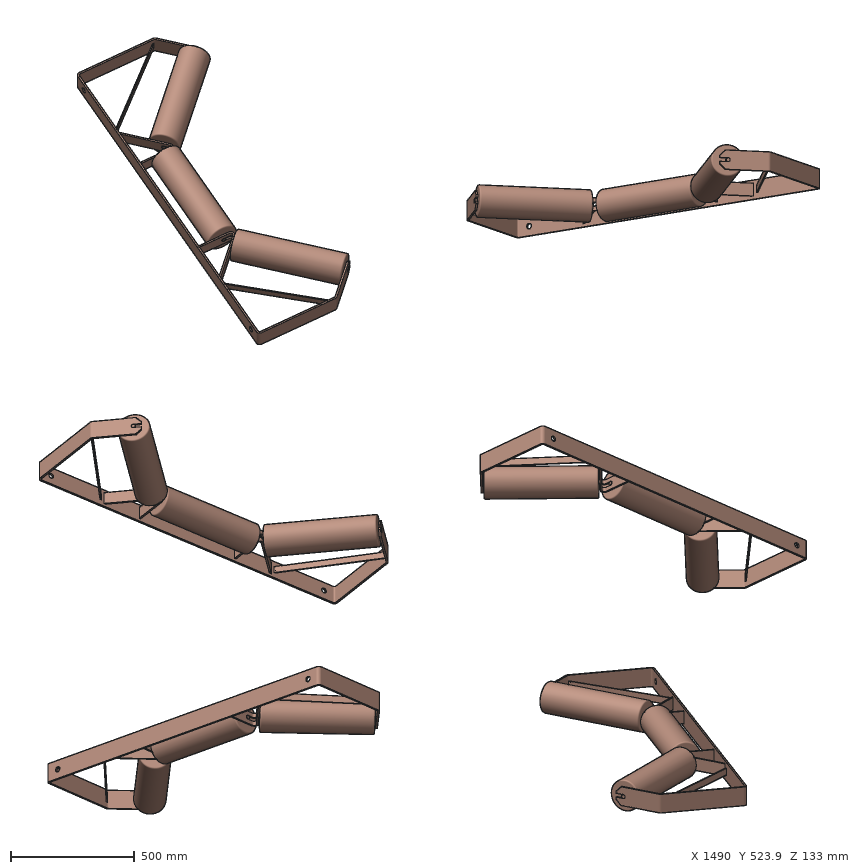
import cadquery as cq
import math

frame_length = 1490.0
frame_thickness = 8.0
frame_width = 80.0
frame_bend_radius = 15.0
wing_corner_y = 365.0
wing_end_y = 508.0
wing_tip_chamfer = 22.0
mounting_hole_diameter = 22.0
mounting_hole_inset = 61.0

roller_diameter = 133.0
roller_length = 465.0
roller_edge_radius = 6.0
shaft_diameter = 16.0
shaft_overhang = 12.0
trough_angle = 45.0
center_roller_y = 125.0
side_roller_x = 450.0
side_roller_y = 315.0

bracket_thickness = 7.0
bracket_width = 54.0
bracket_bend_radius = 16.0
bracket_inner_x = 235.0
bracket_foot_x = 414.0

brace_thickness = 5.2
brace_width = 30.0
brace_foot_x = 437.0
brace_top_y = 355.0

half_length = frame_length / 2
inner_half_length = half_length - frame_thickness
trough_slope = math.radians(trough_angle)
slot_depth = 2 * (shaft_overhang + frame_thickness)
slot_reach = roller_diameter / 2


def bent_strip(points, thickness, width, outer_radius=0.0):
    """Flat strip whose middle plane follows the points, with a round bend at each inner point."""
    mean_radius = outer_radius - thickness / 2
    corners = [cq.Vector(x, y) for x, y in points]
    path = cq.Workplane("XY").moveTo(*points[0])
    for before, corner, after in zip(corners, corners[1:], corners[2:]):
        back = (before - corner).normalized()
        ahead = (after - corner).normalized()
        half_angle = back.getAngle(ahead) / 2
        tangent_length = mean_radius / math.tan(half_angle)
        apex_distance = mean_radius / math.sin(half_angle) - mean_radius
        bend_start = corner + back * tangent_length
        bend_middle = corner + (back + ahead).normalized() * apex_distance
        bend_end = corner + ahead * tangent_length
        path = path.lineTo(bend_start.x, bend_start.y)
        path = path.threePointArc((bend_middle.x, bend_middle.y), (bend_end.x, bend_end.y))
    path = path.lineTo(*points[-1])
    section = cq.Plane(origin=corners[0], xDir=(0, 0, 1), normal=corners[1] - corners[0])
    return cq.Workplane(section).rect(width, thickness).sweep(path)


def place_on_roller_axis(body, side):
    """Move a body from the X axis to a roller axis: side -1 is left, 0 centre, 1 right."""
    origin_y = side_roller_y if side else center_roller_y
    axis = (math.cos(trough_slope * side), math.sin(trough_slope * side), 0)
    plane = cq.Plane(origin=(side * side_roller_x, origin_y, 0), xDir=axis, normal=(0, 0, 1))
    return cq.Workplane(body.val().moved(cq.Location(plane)))


def cylinder_on_x(diameter, length):
    """Cylinder along the X axis, centred on the origin."""
    return cq.Workplane("YZ", origin=(-length / 2, 0, 0)).circle(diameter / 2).extrude(length)


def make_roller(side):
    barrel = cylinder_on_x(roller_diameter, roller_length).edges("%CIRCLE").fillet(roller_edge_radius)
    shaft = cylinder_on_x(shaft_diameter, roller_length + 2 * shaft_overhang)
    return place_on_roller_axis(barrel.union(shaft), side)


def make_shaft_slot(side, end):
    """Cutter for the open round-bottomed slot that holds one shaft end (end -1 or 1)."""
    slot = (
        cq.Workplane("YZ", origin=(end * roller_length / 2, 0, 0))
        .moveTo(slot_reach, shaft_diameter / 2)
        .lineTo(0, shaft_diameter / 2)
        .threePointArc((-shaft_diameter / 2, 0), (0, -shaft_diameter / 2))
        .lineTo(slot_reach, -shaft_diameter / 2)
        .close()
        .extrude(end * slot_depth)
    )
    return place_on_roller_axis(slot, side)


def inside_of_frame():
    """Block that fills the frame between its sides, above its base."""
    return cq.Workplane("XY").box(
        2 * inner_half_length, wing_end_y, frame_width, centered=(True, False, True)
    ).translate((0, frame_thickness, 0))


def make_frame():
    side_x = half_length - frame_thickness / 2
    corner_y = wing_corner_y - frame_thickness / 2 * math.tan(trough_slope / 2)
    wing_run = (wing_end_y - corner_y) / math.tan(trough_slope)
    right_half = [
        (side_x, frame_thickness / 2),
        (side_x, corner_y),
        (side_x - wing_run, wing_end_y),
    ]
    left_half = [(-x, y) for x, y in reversed(right_half)]
    frame = bent_strip(left_half + right_half, frame_thickness, frame_width, frame_bend_radius)

    hole_x = half_length - mounting_hole_inset
    holes = (
        cq.Workplane("XZ")
        .pushPoints([(-hole_x, 0), (hole_x, 0)])
        .circle(mounting_hole_diameter / 2)
        .extrude(-frame_thickness)
    )
    frame = frame.cut(holes)
    tip_corners = [
        (x, wing_end_y, z)
        for x in (wing_run - side_x, side_x - wing_run)
        for z in (-frame_width / 2, frame_width / 2)
    ]
    for corner in tip_corners:
        frame = frame.edges(cq.selectors.NearestToPointSelector(corner)).chamfer(wing_tip_chamfer)
    for side in (-1, 1):
        frame = frame.cut(make_shaft_slot(side, side))
    return frame


def make_bracket():
    """Right-hand bracket: a post beside the centre roller, bent over into a sloping leg."""
    post_x = bracket_inner_x + bracket_thickness / 2
    peak_y = frame_thickness + (bracket_foot_x - post_x) * math.tan(trough_slope)
    foot_x = bracket_foot_x + frame_thickness / math.tan(trough_slope)
    points = [(post_x, 0), (post_x, peak_y), (foot_x, 0)]
    bracket = bent_strip(points, bracket_thickness, bracket_width, bracket_bend_radius)
    bracket = bracket.intersect(inside_of_frame())
    return bracket.cut(make_shaft_slot(0, 1)).cut(make_shaft_slot(1, -1))


def make_brace():
    """Right-hand brace, trimmed to end flat on the base and on the frame side."""
    slope = (brace_top_y - frame_thickness) / (inner_half_length - brace_foot_x)
    foot = (brace_foot_x - frame_thickness / slope, 0)
    top = (half_length, brace_top_y + frame_thickness * slope)
    return bent_strip([foot, top], brace_thickness, brace_width).intersect(inside_of_frame())


frame = make_frame()
rollers = [make_roller(side) for side in (-1, 0, 1)]
right_bracket = make_bracket()
brackets = [right_bracket, right_bracket.mirror("YZ")]
right_brace = make_brace()
braces = [right_brace, right_brace.mirror("YZ")]

bodies = [frame, *rollers, *brackets, *braces]
result = cq.Compound.makeCompound([body.val() for body in bodies])